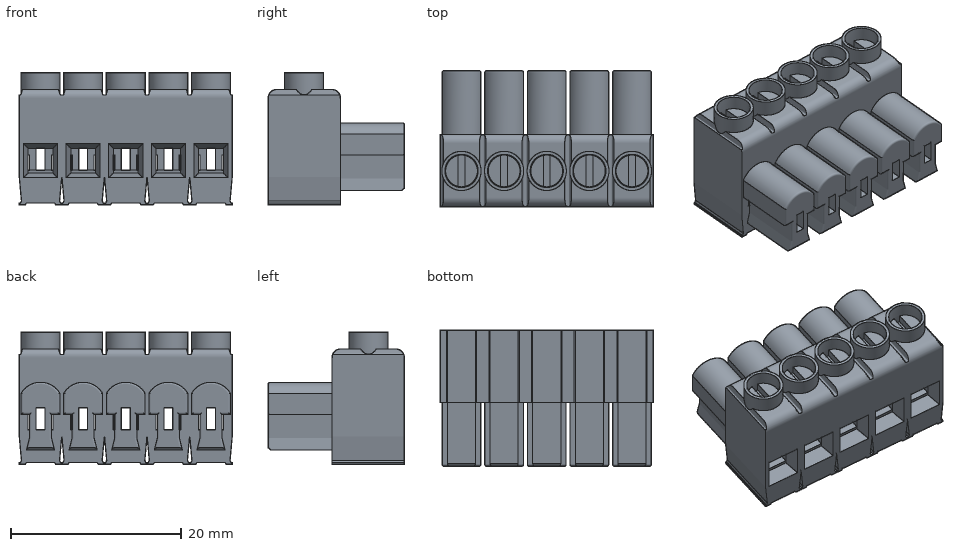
import cadquery as cq


pole_count = 5
pitch = 5.0
length = pole_count * pitch
pole_centers = [(i - (pole_count - 1) / 2) * pitch for i in range(pole_count)]
pole_borders = [(i - pole_count / 2) * pitch for i in range(pole_count + 1)]

total_depth = 16.0
total_height = 15.5

body_depth = 8.5
body_height = 13.55
top_edge_radius = 1.05

groove_floor_z = 12.9
groove_top_half = 0.4
groove_floor_half = 0.2
groove_floor_radius = 0.12

slot_tip_z = 3.22
slot_wide_z = 0.45
slot_wide_half = 0.25
slot_floor_half = 0.12

foot_height = 0.188
foot_half_bottom = 0.72
foot_half_top = 0.85

tower_diameter = 4.6
tower_y = 4.22
bore_top_diameter = 3.9
screw_diameter = 3.72
screw_top_z = 13.88
drive_slot_width = 0.8
drive_slot_depth = 1.0

entry_size = 4.0
entry_bottom_z = 3.18
throat_size = 2.9
funnel_depth = 1.65
chamber_floor_step = 0.35
contact_slot_width = 1.02

nose_bottom_z = 1.68
nose_flare_z = 3.05
nose_step_z = 5.82
nose_shoulder_z = 8.32
nose_top_z = 9.62
nose_half = 2.28
nose_waist_half = 1.3
nose_flare_half = 1.65
nose_tip_radius = 0.25
nose_tip_bottom_run = 0.28
nose_tip_bottom_rise = 0.32

entry_center_z = entry_bottom_z + entry_size / 2
throat_bottom_z = entry_center_z - throat_size / 2
throat_top_z = entry_center_z + throat_size / 2
chamber_floor_z = throat_bottom_z + chamber_floor_step
chamber_height = throat_top_z - chamber_floor_z


def extrude_along_y(points, x, depth):
    """Extrude a closed (X offset, Z) outline at x from the wire face to the given depth."""
    return cq.Workplane("XZ", origin=(x, 0, 0)).polyline(points).close().extrude(-depth)


def mirrored(right_side):
    """Close a symmetric outline from its right-hand points."""
    return right_side + [(-x, z) for x, z in reversed(right_side)]


def make_housing():
    block = cq.Workplane("XY").box(length, body_depth, body_height, centered=(True, False, False))
    return block.edges("|X and >Z").fillet(top_edge_radius)


def make_groove(x):
    outline = mirrored([
        (groove_floor_half, groove_floor_z),
        (groove_top_half, body_height),
    ])
    groove = extrude_along_y(outline, x, body_depth)
    return groove.edges("|Y and <Z").fillet(groove_floor_radius)


def make_border_slot(x):
    outline = [
        (slot_floor_half, foot_height),
        (slot_wide_half, slot_wide_z),
        (0, slot_tip_z),
        (-slot_wide_half, slot_wide_z),
        (-slot_floor_half, foot_height),
    ]
    return extrude_along_y(outline, x, body_depth)


def make_underside_recess(x):
    """Shallow recess under one pole that leaves the feet standing at its borders."""
    outline = mirrored([
        (pitch / 2 - foot_half_bottom, 0),
        (pitch / 2 - foot_half_top, foot_height),
    ])
    return extrude_along_y(outline, x, body_depth)


def make_tower(x):
    base = cq.Workplane("XY", origin=(x, tower_y, groove_floor_z))
    return base.circle(tower_diameter / 2).extrude(total_height - groove_floor_z)


def make_screw_bore(x):
    """Slightly tapered bore down to the screw head, with the screwdriver slot below it."""
    bore = (
        cq.Workplane("XY", origin=(x, tower_y, screw_top_z))
        .circle(screw_diameter / 2)
        .workplane(offset=total_height - screw_top_z)
        .circle(bore_top_diameter / 2)
        .loft()
    )
    slot_base = cq.Workplane("XY", origin=(x, tower_y, screw_top_z - drive_slot_depth))
    head = slot_base.circle(screw_diameter / 2).extrude(drive_slot_depth)
    slot = slot_base.rect(drive_slot_width, screw_diameter).extrude(drive_slot_depth)
    return bore.union(head.intersect(slot))


def make_wire_entry(x):
    """Square funnel, wire chamber with a raised floor, and contact slot through the nose."""
    funnel = (
        cq.Workplane("XZ", origin=(x, 0, entry_center_z))
        .rect(entry_size, entry_size)
        .workplane(offset=-funnel_depth)
        .rect(throat_size, throat_size)
        .loft()
    )
    middle = cq.Workplane("XZ", origin=(x, 0, chamber_floor_z + chamber_height / 2))
    chamber = middle.rect(throat_size, chamber_height).extrude(-body_depth)
    contact_slot = middle.rect(contact_slot_width, chamber_height).extrude(-total_depth)
    return funnel.union(chamber).union(contact_slot)


def make_nose(x):
    """Keyed plug body with an arched top, a narrow waist and a flared bottom."""
    nose = (
        cq.Workplane("XZ", origin=(x, body_depth, 0))
        .moveTo(nose_flare_half, nose_bottom_z)
        .lineTo(nose_waist_half, nose_flare_z)
        .lineTo(nose_waist_half, nose_step_z)
        .lineTo(nose_half, nose_step_z)
        .lineTo(nose_half, nose_shoulder_z)
        .threePointArc((0, nose_top_z), (-nose_half, nose_shoulder_z))
        .lineTo(-nose_half, nose_step_z)
        .lineTo(-nose_waist_half, nose_step_z)
        .lineTo(-nose_waist_half, nose_flare_z)
        .lineTo(-nose_flare_half, nose_bottom_z)
        .close()
        .extrude(body_depth - total_depth)
    )
    nose = nose.faces("<Z").edges(">Y").chamfer(nose_tip_bottom_rise, nose_tip_bottom_run)
    return nose.faces(">Y").edges("not <Z").fillet(nose_tip_radius)


result = make_housing()
for border_x in pole_borders:
    result = result.cut(make_groove(border_x)).cut(make_border_slot(border_x))
for pole_x in pole_centers:
    result = result.cut(make_underside_recess(pole_x))
    result = result.union(make_tower(pole_x)).union(make_nose(pole_x))
    result = result.cut(make_screw_bore(pole_x)).cut(make_wire_entry(pole_x))